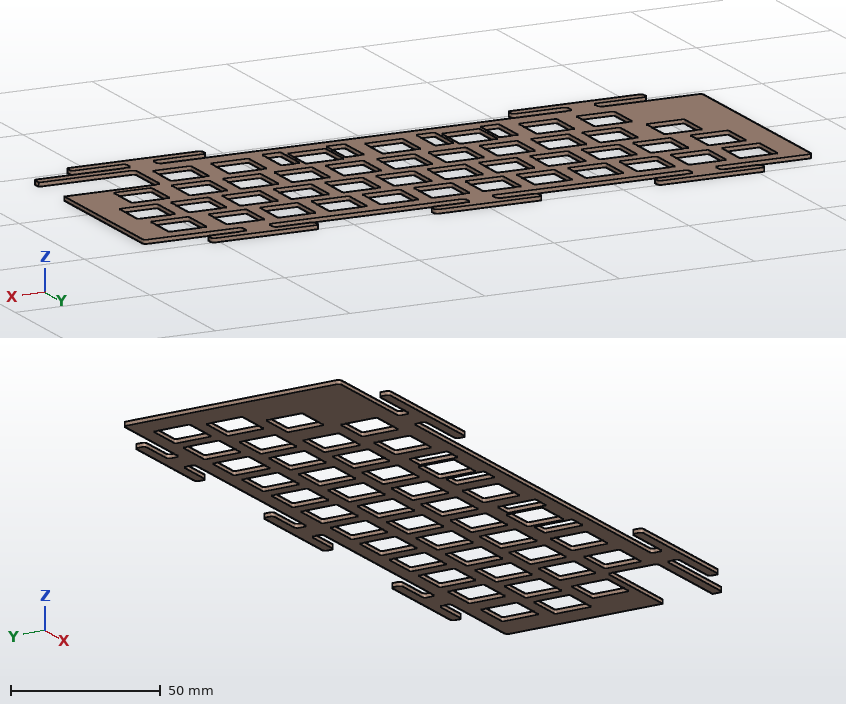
import cadquery as cq

plate_length = 248.0
plate_width = 84.3
overall_width = 101.0
thickness = 1.51

ten_key_span = 190.5
key_unit = ten_key_span / 10
row_length_in_units = 12.25
grid_center_x = 0.12
grid_center_y = 0.7
row_start_x = grid_center_x - row_length_in_units * key_unit / 2
web_between_keys = 5.0
key_hole_size = key_unit - web_between_keys
hole_corner_radius = 0.62

key_rows = [
    (0.0, [1.0] * 11 + [1.25]),
    (0.0, [1.25] + [1.0] * 11),
    (0.25, [1.5] + [1.0] * 9 + [1.25]),
    (1.25, [1.25, 1.0, 2.0, 1.0, 2.0, 1.0, 1.25]),
]

wide_key = 2.0
stabilizer_offset_x = 12.0
stabilizer_drop = 2.0
stabilizer_width = 7.0
stabilizer_height = 15.0

bar_width = 4.0
gap_width = (overall_width - plate_width) / 2 - bar_width
neck_width = 10.0
tab_spacing = 82.8
top_bar_length = 39.7
bottom_bar_length = 50.0
bottom_left_tab_x = -80.8

cutout_left_x = 88.3
cutout_height = 19.3
arm_width = 4.0

corner_radius = 1.2


def block(center_x, center_y, length, width):
    """Rectangular block of full plate thickness."""
    return cq.Workplane("XY").center(center_x, center_y).rect(length, width).extrude(thickness)


def rounded_block(center_x, center_y, length, width):
    """Block with the small corner radius of the openings."""
    return block(center_x, center_y, length, width).edges("|Z").fillet(hole_corner_radius)


def tab(center_x, side, bar_length):
    """Tab on the top (side = 1) or bottom (side = -1) edge, overlapping the plate by one bar width."""
    edge_y = side * plate_width / 2
    root = block(center_x, edge_y - side * bar_width / 2, bar_length, bar_width)
    neck = block(center_x, edge_y + side * gap_width / 2, neck_width, gap_width)
    bar = block(center_x, edge_y + side * (gap_width + bar_width / 2), bar_length, bar_width)
    bar = bar.edges("|Z").fillet(corner_radius)
    zone_reach = gap_width + bar_width / 2
    neck_zone = cq.selectors.BoxSelector(
        (center_x - neck_width, edge_y - zone_reach, -thickness),
        (center_x + neck_width, edge_y + zone_reach, 2 * thickness),
    )
    return root.union(neck).union(bar).edges("|Z").edges(neck_zone).fillet(corner_radius)


def base_plate():
    """Plate outline with the corner cut-out and an arm below it; the two cut-out tips stay sharp."""
    left_x = -plate_length / 2
    right_x = plate_length / 2
    top_y = plate_width / 2
    bottom_y = -plate_width / 2
    arm_top_y = bottom_y + arm_width
    outline = [
        (left_x, bottom_y),
        (right_x, bottom_y),
        (right_x, arm_top_y),
        (cutout_left_x, arm_top_y),
        (cutout_left_x, arm_top_y + cutout_height),
        (right_x, arm_top_y + cutout_height),
        (right_x, top_y),
        (left_x, top_y),
    ]
    plate = cq.Workplane("XY").polyline(outline).close().extrude(thickness)
    cutout_inner_corners = cq.selectors.BoxSelector(
        (cutout_left_x - arm_width, bottom_y, -thickness),
        (cutout_left_x + arm_width, top_y, 2 * thickness),
    )
    plate = plate.edges("|Z").edges(cutout_inner_corners).fillet(corner_radius)
    outer_corners = "(<X or >X) and (<Y or >Y)"
    return plate.edges("|Z").edges(outer_corners).fillet(corner_radius)


def cut_keys(plate):
    """Cut the key holes, and the stabilizer slots of the wide keys."""
    for row, (row_indent, key_widths) in enumerate(key_rows):
        center_y = grid_center_y + ((len(key_rows) - 1) / 2 - row) * key_unit
        left_x = row_start_x + row_indent * key_unit
        for width in key_widths:
            center_x = left_x + width * key_unit / 2
            plate = plate.cut(rounded_block(center_x, center_y, key_hole_size, key_hole_size))
            if width == wide_key:
                for side in (-1, 1):
                    slot = rounded_block(
                        center_x + side * stabilizer_offset_x,
                        center_y - stabilizer_drop,
                        stabilizer_width,
                        stabilizer_height,
                    )
                    plate = plate.cut(slot)
            left_x += width * key_unit
    return plate


result = base_plate()
for tab_x in (-tab_spacing, 0, tab_spacing):
    result = result.union(tab(tab_x, 1, top_bar_length))
result = result.union(tab(bottom_left_tab_x, -1, bottom_bar_length))
result = result.union(tab(tab_spacing, -1, bottom_bar_length))
result = cut_keys(result)